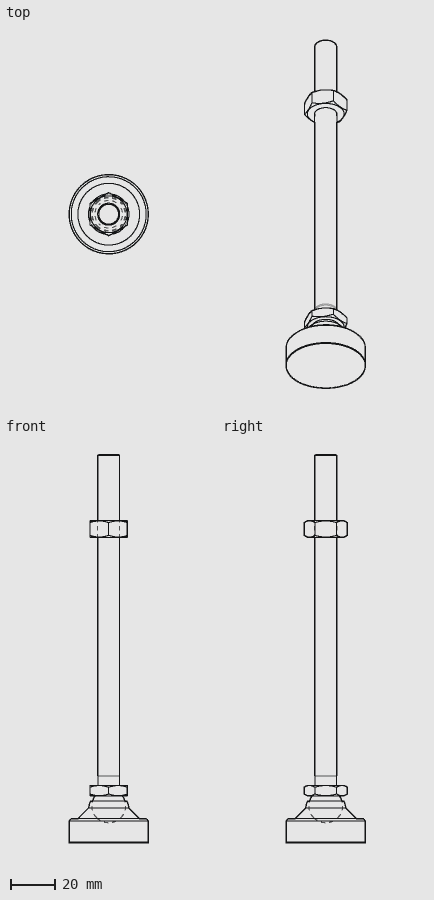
import cadquery as cq
import math

total_height = 176.0

foot_diameter = 36.0
pad_thickness = 0.5

disc_top = 11.0
disc_chamfer = 1.0
bell_base_radius = 14.0
collar_base_radius = 9.2
bell_top = disc_top + bell_base_radius - collar_base_radius
collar_top = 18.9
collar_top_radius = 8.3
collar_bulge_radius = 9.2

ball_radius = 7.7
ball_center = 16.8

stud_diameter = 10.0
hex_across_flats = 17.0
hex_bottom = 21.3
hex_height = 4.8
tip_chamfer = 0.5
runout_bottom = 30.0
runout_height = 0.6
shank_diameter = 9.9

nut_bottom = 138.5
nut_height = 7.5

bearing_diameter = 16.7
bevel_angle = math.radians(30)

foot_radius = foot_diameter / 2
stud_radius = stud_diameter / 2
shank_radius = shank_diameter / 2


def turned(outline):
    """Solid of revolution about Z from (radius, height) points."""
    return cq.Workplane("XZ").polyline(outline).close().revolve(360, (0, 0), (0, 1))


def bevelled_hexagon(bottom, height):
    """Hexagonal prism with flats facing +X and -X and both rims bevelled."""
    corner_diameter = hex_across_flats / math.cos(math.pi / 6)
    corner_radius = corner_diameter / 2
    bearing_radius = bearing_diameter / 2
    bevel_height = (corner_radius - bearing_radius) * math.tan(bevel_angle)
    prism = (
        cq.Workplane("XY", origin=(0, 0, bottom))
        .transformed(rotate=(0, 0, 90))
        .polygon(6, corner_diameter)
        .extrude(height)
    )
    top = bottom + height
    envelope = turned([
        (0, bottom),
        (bearing_radius, bottom),
        (corner_radius, bottom + bevel_height),
        (corner_radius, top - bevel_height),
        (bearing_radius, top),
        (0, top),
    ])
    return prism.intersect(envelope)


def ball():
    return cq.Workplane("XY", origin=(0, 0, ball_center)).sphere(ball_radius)


def make_pad():
    return cq.Workplane("XY").circle(foot_radius).extrude(pad_thickness)


def make_foot():
    """Disc, bell and collar, with the socket that holds the ball."""
    body = (
        cq.Workplane("XZ")
        .moveTo(0, pad_thickness)
        .lineTo(foot_radius, pad_thickness)
        .lineTo(foot_radius, disc_top - disc_chamfer)
        .lineTo(foot_radius - disc_chamfer, disc_top)
        .lineTo(bell_base_radius, disc_top)
        .lineTo(collar_base_radius, bell_top)
        .radiusArc((collar_top_radius, collar_top), -collar_bulge_radius)
        .lineTo(0, collar_top)
        .close()
        .revolve(360, (0, 0), (0, 1))
    )
    return body.cut(ball())


def make_stud():
    """Rod, slightly thinner shank, fixed hexagon and ball in one piece."""
    rod = turned([
        (0, ball_center),
        (shank_radius, ball_center),
        (shank_radius, runout_bottom),
        (stud_radius, runout_bottom + runout_height),
        (stud_radius, total_height - tip_chamfer),
        (stud_radius - tip_chamfer, total_height),
        (0, total_height),
    ])
    below_hex = cq.Workplane("XY").circle(foot_radius).extrude(hex_bottom)
    ball_end = ball().intersect(below_hex)
    hexagon = bevelled_hexagon(hex_bottom, hex_height)
    return rod.union(ball_end).union(hexagon)


def make_nut():
    """Lock nut with a plain bore fitting the stud."""
    bore = cq.Workplane("XY").circle(stud_radius).extrude(total_height)
    return bevelled_hexagon(nut_bottom, nut_height).cut(bore)


pad = make_pad()
foot = make_foot()
stud = make_stud()
nut = make_nut()

result = cq.Compound.makeCompound([pad.val(), foot.val(), stud.val(), nut.val()])